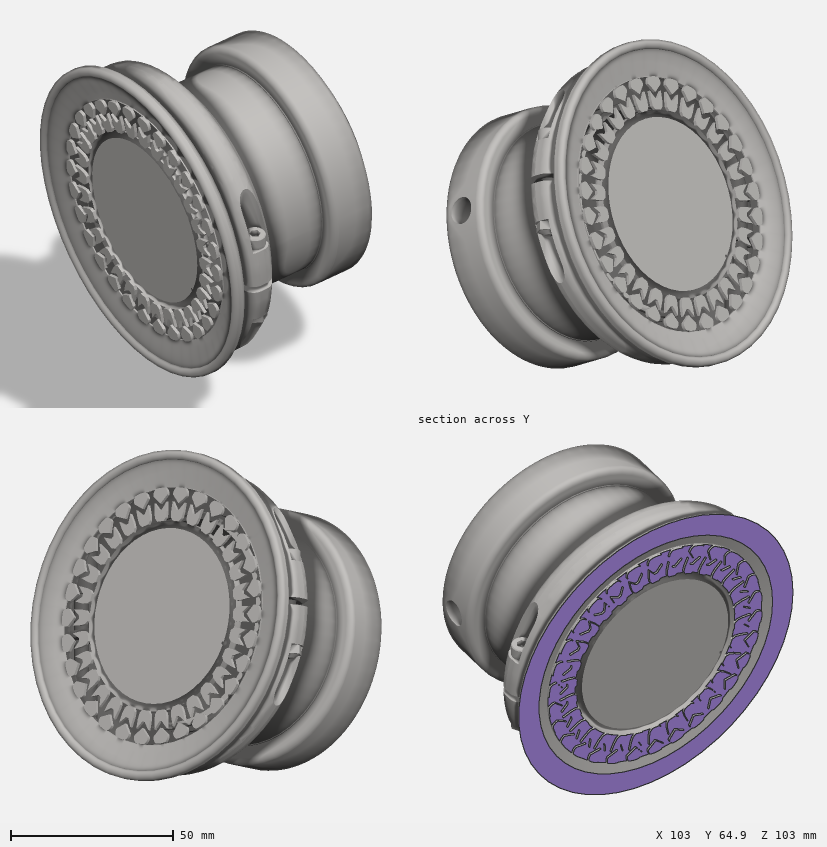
import cadquery as cq
import math

overall_radius = 51.5
front_y = -32.4
back_y = 32.5
spindle_radius = 34.2

cap_radius = 40.2
cap_front_y = 13.5
cap_edge_fillet = 2.0
cap_back_radius = 32.2
cap_bevel_depth = 4.3
bevel_lip_fillet = 3.1
collar_radius = 34.5
collar_length = 0.4
pin_hole_diameter = 8.5
pin_hole_depth = 8.2
pin_hole_y = 21.5

groove_diameter = 64.5
groove_width = 1.2
groove_places = (-14.9, -21.7)

ring_radius = 48.1
ring_back_y = -11.4
ring_front_y = -24.1
ring_edge_fillet = 4.0
ring_back_radius = 41.8
ring_bevel_depth = 4.4
split_width = 2.3

screw_x = 42.1
screw_y = -18.1
shank_diameter = 4.0
shank_hole_diameter = 4.5
head_diameter = 6.8
head_height = 3.9
head_chamfer = 0.3
socket_width = 3.5
socket_depth = 2.1
socket_tip_depth = 0.9
nut_width = 6.8
nut_height = 2.7
nut_crown_radius = 3.1
nut_crown_tip_radius = 1.2
nut_crown_height = 1.0
seat_height = 13.1
pocket_width = 7.0
pocket_centre_x = 40.3
pocket_length = 30.9

flange_neck_radius = 41.6
flange_back_y = -24.4
flange_bulge_radius = 46.7
flange_bulge_y = -25.9
flange_shoulder_radius = 50.4
flange_shoulder_y = -28.1
rim_inner_radius = 48.5
rim_radius = (overall_radius - rim_inner_radius) / 2
rim_y = front_y + rim_radius
flange_side_y = -29.6
dish_radius = 40.3
dish_y = -28.6

band_radius = 40.1
band_y = -29.0
relief_height = 1.0
motif_count = 30
disc_radius = 29.8
disc_edge_fillet = 2.4
disc_y = -29.4
mark_diameter = 1.0
mark_depth = 1.0
mark_radius = 27.1
mark_angle = -25.0


def revolve(profile):
    """Turn a closed (radius, y) outline around the Y axis."""
    return profile.close().revolve(360, (0, 0, 0), (0, 1, 0))


def outline(*points):
    return cq.Workplane("XY").polyline(points)


def make_cap():
    cap = revolve(outline(
        (0, cap_front_y),
        (cap_radius, cap_front_y),
        (cap_radius, back_y - cap_bevel_depth),
        (cap_back_radius, back_y),
        (0, back_y),
    ))
    cap = cap.edges(cq.selectors.RadiusNthSelector(-1)).fillet(cap_edge_fillet)
    cap = cap.faces(">Y").edges().fillet(bevel_lip_fillet)
    pin_hole = (
        cq.Workplane("YZ", origin=(-cap_radius, 0, 0))
        .center(pin_hole_y, 0)
        .circle(pin_hole_diameter / 2)
        .extrude(pin_hole_depth)
    )
    return cap.cut(pin_hole)


def make_spindle():
    collar_y = cap_front_y - collar_length
    spindle = revolve(outline(
        (0, cap_front_y),
        (collar_radius, cap_front_y),
        (collar_radius, collar_y),
        (spindle_radius, collar_y),
        (spindle_radius, ring_front_y),
        (0, ring_front_y),
    ))
    for groove_y in groove_places:
        spindle = spindle.cut(
            cq.Workplane("XZ", origin=(0, groove_y + groove_width / 2, 0))
            .circle(overall_radius)
            .circle(groove_diameter / 2)
            .extrude(groove_width)
        )
    return spindle


def make_flange():
    profile = (
        cq.Workplane("XY")
        .moveTo(0, ring_front_y)
        .lineTo(flange_neck_radius, ring_front_y)
        .lineTo(flange_neck_radius, flange_back_y)
        .threePointArc((flange_bulge_radius, flange_bulge_y), (flange_shoulder_radius, flange_shoulder_y))
        .tangentArcPoint((overall_radius, flange_side_y), relative=False)
        .lineTo(overall_radius, rim_y)
        .threePointArc((overall_radius - rim_radius, front_y), (rim_inner_radius, rim_y))
        .lineTo(dish_radius, dish_y)
        .lineTo(band_radius, dish_y)
        .lineTo(band_radius, band_y)
        .lineTo(disc_radius, band_y)
        .lineTo(disc_radius, disc_y + disc_edge_fillet)
        .tangentArcPoint((disc_radius - disc_edge_fillet, disc_y), relative=False)
        .lineTo(0, disc_y)
    )
    return revolve(profile)


def make_motifs():
    """Raised drop and chevron pairs, drawn at the top of the band and repeated around it."""
    band = cq.Workplane("XZ", origin=(0, band_y, 0))
    drop = (
        band.moveTo(0, 35.1)
        .lineTo(2.8, 37.6)
        .threePointArc((2.7, 38.8), (2.0, 39.9))
        .threePointArc((0, 40.1), (-2.0, 39.9))
        .threePointArc((-2.7, 38.8), (-2.8, 37.6))
        .close()
        .extrude(relief_height)
    )
    half_chevron = [(0.5, 33.2), (2.5, 35.5), (2.5, 32.5), (2.2, 30.6), (1.2, 29.6)]
    mirrored = [(-x, z) for x, z in reversed(half_chevron)]
    chevron = band.polyline(half_chevron + mirrored).close().extrude(relief_height)
    motifs = []
    for i in range(motif_count):
        angle = 360 / motif_count * i
        for motif in (drop, chevron):
            motifs.append(motif.rotate((0, 0, 0), (0, 1, 0), angle).val())
    return motifs


def make_ring():
    ring = revolve(outline(
        (spindle_radius, ring_front_y),
        (ring_radius, ring_front_y),
        (ring_radius, ring_back_y - ring_bevel_depth),
        (ring_back_radius, ring_back_y),
        (spindle_radius, ring_back_y),
    ))
    ring = ring.edges(cq.selectors.RadiusNthSelector(-1)).fillet(ring_edge_fillet)
    ring = ring.edges(cq.selectors.BoxSelector(
        (-ring_radius, ring_back_y - 0.1, -ring_radius), (ring_radius, ring_back_y + 0.1, ring_radius),
    )).edges(cq.selectors.RadiusNthSelector(-1)).fillet(bevel_lip_fillet)
    split = (
        cq.Workplane("XY")
        .box(2 * overall_radius, ring_back_y - ring_front_y, split_width)
        .translate((0, (ring_back_y + ring_front_y) / 2, 0))
    )
    ring = ring.cut(split)
    for side in (-1, 1):
        ring = ring.cut(make_pocket(side, 1)).cut(make_pocket(side, -1)).cut(make_shank(side, shank_hole_diameter))
        ring = ring.union(make_screw(side))
    return ring


def make_pocket(side, up):
    reach = overall_radius - pocket_centre_x
    floor = cq.Workplane("XY", origin=(0, screw_y, up * seat_height))
    round_end = floor.center(side * pocket_centre_x, 0).circle(pocket_width / 2).extrude(up * pocket_length)
    open_side = (
        floor.center(side * (pocket_centre_x + reach / 2), 0)
        .rect(reach, pocket_width)
        .extrude(up * pocket_length)
    )
    return round_end.union(open_side)


def make_shank(side, diameter):
    return (
        cq.Workplane("XY", origin=(side * screw_x, screw_y, -seat_height))
        .circle(diameter / 2)
        .extrude(2 * seat_height)
    )


def make_screw(side):
    shank = make_shank(side, shank_diameter)
    head_top = seat_height + head_height
    head = (
        cq.Workplane("XY", origin=(side * screw_x, screw_y, seat_height))
        .circle(head_diameter / 2)
        .extrude(head_height)
        .faces(">Z")
        .chamfer(head_chamfer)
    )
    hexagon = (
        cq.Workplane("XY", origin=(side * screw_x, screw_y, head_top))
        .polygon(6, socket_width)
        .extrude(-socket_depth - socket_tip_depth)
    )
    drill = cq.Workplane("XZ", origin=(side * screw_x, screw_y, head_top)).polyline([
        (0, 0),
        (socket_width / 2, 0),
        (socket_width / 2, -socket_depth),
        (0, -socket_depth - socket_tip_depth),
    ]).close().revolve(360, (0, 0, 0), (0, 1, 0))
    head = head.cut(hexagon.intersect(drill))
    nut = (
        cq.Workplane("XY", origin=(side * screw_x, screw_y, -seat_height))
        .transformed(rotate=(0, 0, 30))
        .polygon(6, nut_width, circumscribed=True)
        .extrude(-nut_height)
        .faces("<Z")
        .workplane()
        .circle(nut_crown_radius)
        .workplane(offset=nut_crown_height)
        .circle(nut_crown_tip_radius)
        .loft()
    )
    return shank.union(head).union(nut)


def make_mark():
    angle = math.radians(mark_angle)
    return (
        cq.Workplane("XZ", origin=(0, disc_y, 0))
        .center(mark_radius * math.cos(angle), mark_radius * math.sin(angle))
        .circle(mark_diameter / 2)
        .extrude(-mark_depth)
    )


flange = cq.Workplane(make_flange().val().fuse(*make_motifs())).cut(make_mark())
result = make_spindle().union(make_cap()).union(flange).union(make_ring())